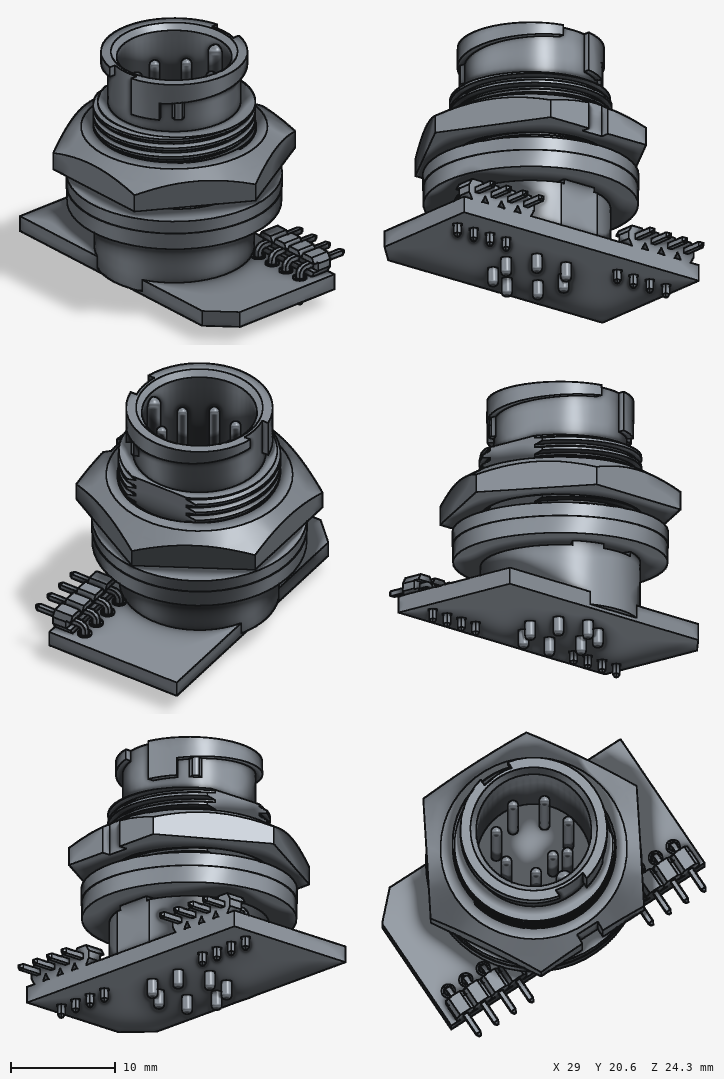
import cadquery as cq
import math


BOARD_LENGTH = 28.96
BOARD_BACK = 7.65
BOARD_FRONT = -6.9
BOARD_THICKNESS = 1.6
BOARD_CORNER_CHAMFER = 2.55

HOUSING_BOTTOM = -1.24
HOUSING_TOP = 4.5
FLANGE_BOTTOM = 4.94
FLANGE_STEP = 6.63
FLANGE_TOP = 7.94
NUT_BOTTOM = 9.44
NUT_TOP = 12.85
THREAD_TOP = 15.55
LUG_BOTTOM = 17.05
RIM = 20.9
SOCKET_FLOOR = FLANGE_TOP

HOUSING_RADIUS = 7.63
HOUSING_FLAT_Y = 7.3
NECK_RADIUS = 5.97
POST_HALF_WIDTH = 1.84
POST_OUTER_X = 4.7
BACK_POST_INNER_Y = 6.1
FLANGE_LOWER_RADIUS = 10.25
FLANGE_UPPER_RADIUS = 10.31
COLLAR_RADIUS = 6.35
SOCKET_RADIUS = 5.5
SOCKET_CHAMFER = 0.55

THREAD_PITCH = 0.94
THREAD_ROOT_RADIUS = 7.3
THREAD_CREST_RADIUS = 7.75
THREAD_CREST_WIDTH = 0.28
THREAD_ROOT_WIDTH = 0.22
THREAD_CREST_Z = 8.82
THREAD_FLAT_X = -6.7

LUG_RADIUS = 7.0
LUG_SLOT_HALF_WIDTH = 1.55
RAMP_START_ANGLE = 127
RAMP_END_ANGLE = 260
RAMP_START_DEPTH = 2.1
RAMP_PITCH = 3.0
DETENT_ANGLE = 142.3
DETENT_BASE_HALF_ANGLE = 5.3
DETENT_TOP_HALF_ANGLE = 2.9
DETENT_SHOULDER_RADIUS = 6.75
DETENT_PEAK_RADIUS = 6.85

PIN_RADIUS = 0.5
PIN_CIRCLE_RADIUS = 3.6
PIN_ANGLES = [-90 + 50 * step for step in range(-3, 4)]
PIN_TIP = 18.35
PIN_BOTTOM = -3.36
PIN_BOTTOM_FILLET = 0.42
SHORT_PIN_PLACE = (-0.9, 1.95)
SHORT_PIN_TIP = 15.0
KEY_RADIUS = 0.75
KEY_Y = 5.28
KEY_TIP = 19.8

NUT_ACROSS_FLATS = 20.4
NUT_BORE_RADIUS = 7.58
NUT_THREAD_CLEARANCE = 0.1
NUT_FACE_RADIUS = 8.9
NUT_CHAMFER_ANGLE = 30
NUT_NOTCH_WIDTH = 2.35
NUT_NOTCH_FLOOR_Y = 9.3

HEADER_PITCH = 2.0
HEADER_COUNT = 4
HEADER_INNER_X = 6.85
HEADER_HEIGHT = 2.06
HEADER_FACE_WIDTH = 1.24
HEADER_SIDE_HEIGHT = 0.76
HEADER_DEPTH = 2.0
HEADER_GROOVE_DEPTH = 0.5
HEADER_GROOVE_HEIGHT = 0.9
LEAD_WIDTH = 0.5
LEAD_TIP_WIDTH = 0.22
LEAD_TIP_LENGTH = 0.3
LEAD_BACK_Y = 10.2
LEAD_LEG_Y = 4.67
LEAD_BOTTOM = -2.8
LEAD_BEND_RADIUS = 0.65
PAD_RADIUS = 0.66
PAD_HEIGHT = 0.1
LEAD_HOLE_RADIUS = 0.45

EMBED = 0.15


def cylinder(radius, bottom, top):
    return cq.Workplane("XY").workplane(offset=bottom).circle(radius).extrude(top - bottom)


def block(x_range, y_range, z_range):
    corner = (x_range[0], y_range[0], z_range[0])
    size = [high - low for low, high in (x_range, y_range, z_range)]
    return cq.Workplane("XY").box(*size, centered=False).translate(corner)


def half_turn(shape):
    return shape.rotate((0, 0, 0), (0, 0, 1), 180)


def domed_rod(radius, place, bottom, tip):
    x, y = place
    rod = cylinder(radius, bottom, tip - radius).translate((x, y, 0))
    return rod.union(cq.Workplane("XY").sphere(radius).translate((x, y, tip - radius)))


def board():
    plate = block(
        (-BOARD_LENGTH / 2, BOARD_LENGTH / 2), (BOARD_FRONT, BOARD_BACK), (-BOARD_THICKNESS, 0)
    )
    return plate.edges("|Z and >X and <Y").chamfer(BOARD_CORNER_CHAMFER)


def housing():
    """Round base with a flat back, and the posts that carry the flange."""
    base = cylinder(HOUSING_RADIUS, HOUSING_BOTTOM, FLANGE_BOTTOM)
    base = base.cut(
        block(
            (-HOUSING_RADIUS, HOUSING_RADIUS),
            (HOUSING_FLAT_Y, HOUSING_RADIUS),
            (HOUSING_BOTTOM, FLANGE_BOTTOM),
        )
    )
    gap = cylinder(HOUSING_RADIUS, HOUSING_TOP, FLANGE_BOTTOM)
    gap = gap.cut(cylinder(NECK_RADIUS, HOUSING_TOP, FLANGE_BOTTOM))
    post_angles = [math.asin(x / HOUSING_RADIUS) for x in (POST_HALF_WIDTH, POST_OUTER_X)]
    far = 2 * HOUSING_RADIUS
    for side in (-1, 1):
        corners = [(side * far * math.sin(a), -far * math.cos(a)) for a in post_angles]
        front_post = cq.Workplane("XY").workplane(offset=HOUSING_TOP).polyline([(0, 0), *corners]).close()
        gap = gap.cut(front_post.extrude(FLANGE_BOTTOM - HOUSING_TOP))
    back_post = block(
        (-POST_HALF_WIDTH, POST_HALF_WIDTH),
        (BACK_POST_INNER_Y, HOUSING_FLAT_Y),
        (HOUSING_TOP, FLANGE_BOTTOM),
    )
    return base.cut(gap.cut(back_post))


def flange():
    lower = cylinder(FLANGE_LOWER_RADIUS, FLANGE_BOTTOM, FLANGE_STEP)
    return lower.union(cylinder(FLANGE_UPPER_RADIUS, FLANGE_STEP, FLANGE_TOP))


def threaded_rod(clearance=0):
    """Round rod with a right-hand helical ridge, enlarged radially by `clearance`."""
    turns_below = 2
    start = THREAD_CREST_Z - turns_below * THREAD_PITCH
    length = THREAD_TOP - start + THREAD_PITCH
    root_radius = THREAD_ROOT_RADIUS + clearance
    crest_radius = THREAD_CREST_RADIUS + clearance
    inner_radius = root_radius - EMBED
    crest = THREAD_CREST_WIDTH / 2
    foot = (THREAD_PITCH - THREAD_ROOT_WIDTH) / 2
    profile = [
        (inner_radius, start - foot),
        (root_radius, start - foot),
        (crest_radius, start - crest),
        (crest_radius, start + crest),
        (root_radius, start + foot),
        (inner_radius, start + foot),
    ]
    path = cq.Wire.makeHelix(THREAD_PITCH, length, root_radius, cq.Vector(0, 0, start))
    ridge = cq.Workplane("XZ").polyline(profile).close().sweep(cq.Workplane(path), isFrenet=True)
    ridge = ridge.intersect(cylinder(crest_radius + EMBED, FLANGE_TOP, THREAD_TOP))
    return cylinder(root_radius, FLANGE_TOP, THREAD_TOP).union(ridge)


def threaded_barrel():
    """Threaded part of the shell, with one flat on the -X side."""
    flat = block(
        (-2 * THREAD_CREST_RADIUS, THREAD_FLAT_X),
        (-THREAD_CREST_RADIUS, THREAD_CREST_RADIUS),
        (FLANGE_TOP, THREAD_TOP),
    )
    return threaded_rod().cut(flat)


def ramp_cutter():
    """Clears the space under one lug, up to its helical underside."""
    start = RIM - RAMP_START_DEPTH
    rise = RAMP_PITCH * (RAMP_END_ANGLE - RAMP_START_ANGLE) / 360
    inner_radius = COLLAR_RADIUS - 2 * EMBED
    outer_radius = LUG_RADIUS + EMBED
    bottom = LUG_BOTTOM - RAMP_PITCH
    path = cq.Wire.makeHelix(RAMP_PITCH, rise, LUG_RADIUS, cq.Vector(0, 0, start))
    section = [(inner_radius, bottom), (outer_radius, bottom), (outer_radius, start), (inner_radius, start)]
    cutter = cq.Workplane("XZ").polyline(section).close().sweep(cq.Workplane(path), isFrenet=True)
    return cutter.rotate((0, 0, 0), (0, 0, 1), RAMP_START_ANGLE)


def detent():
    """Small ridge with a rounded top, standing on the collar under one lug."""

    def point(radius, offset):
        angle = math.radians(DETENT_ANGLE + offset)
        return (radius * math.cos(angle), radius * math.sin(angle))

    outline = (
        cq.Workplane("XY")
        .workplane(offset=LUG_BOTTOM)
        .moveTo(*point(COLLAR_RADIUS - EMBED, 0))
        .lineTo(*point(COLLAR_RADIUS, -DETENT_BASE_HALF_ANGLE))
        .lineTo(*point(DETENT_SHOULDER_RADIUS, -DETENT_TOP_HALF_ANGLE))
        .threePointArc(point(DETENT_PEAK_RADIUS, 0), point(DETENT_SHOULDER_RADIUS, DETENT_TOP_HALF_ANGLE))
        .lineTo(*point(COLLAR_RADIUS, DETENT_BASE_HALF_ANGLE))
        .close()
    )
    top = RIM - RAMP_START_DEPTH / 2
    return outline.extrude(top - LUG_BOTTOM)


def bayonet_collar():
    lugs = cylinder(LUG_RADIUS, LUG_BOTTOM, RIM).cut(cylinder(COLLAR_RADIUS - EMBED, LUG_BOTTOM, RIM))
    lugs = lugs.cut(
        block(
            (-LUG_SLOT_HALF_WIDTH, LUG_SLOT_HALF_WIDTH),
            (-LUG_RADIUS, LUG_RADIUS),
            (LUG_BOTTOM, RIM),
        )
    )
    cutter = ramp_cutter()
    lugs = lugs.cut(cutter).cut(half_turn(cutter))
    collar = cylinder(COLLAR_RADIUS, THREAD_TOP, RIM).union(lugs)
    ridge = detent()
    return collar.union(ridge).union(half_turn(ridge))


def socket():
    """Cavity around the contacts, chamfered at the rim."""
    profile = [
        (0, SOCKET_FLOOR),
        (SOCKET_RADIUS, SOCKET_FLOOR),
        (SOCKET_RADIUS, RIM - SOCKET_CHAMFER),
        (SOCKET_RADIUS + SOCKET_CHAMFER, RIM),
        (0, RIM),
    ]
    return cq.Workplane("XZ").polyline(profile).close().revolve(360, (0, 0, 0), (0, 1, 0))


def contacts():
    """Seven contacts through the board, one short contact and the polarising key."""
    parts = []
    for angle in PIN_ANGLES:
        x = PIN_CIRCLE_RADIUS * math.cos(math.radians(angle))
        y = PIN_CIRCLE_RADIUS * math.sin(math.radians(angle))
        parts.append(domed_rod(PIN_RADIUS, (x, y), SOCKET_FLOOR - EMBED, PIN_TIP))
        tail = cylinder(PIN_RADIUS, PIN_BOTTOM, HOUSING_BOTTOM).faces("<Z").edges().fillet(PIN_BOTTOM_FILLET)
        parts.append(tail.translate((x, y, 0)))
    parts.append(domed_rod(PIN_RADIUS, SHORT_PIN_PLACE, SOCKET_FLOOR - EMBED, SHORT_PIN_TIP))
    key = domed_rod(KEY_RADIUS, (0, KEY_Y), SOCKET_FLOOR - EMBED, KEY_TIP)
    parts.append(key.intersect(cylinder(COLLAR_RADIUS - EMBED, SOCKET_FLOOR - EMBED, RIM)))
    return parts


def lead_tip(base_center, direction):
    """Tapered square end that grows from `base_center` along `direction`."""
    plane = cq.Plane(origin=base_center, xDir=(1, 0, 0), normal=direction)
    base = cq.Workplane(plane).rect(LEAD_WIDTH, LEAD_WIDTH)
    return base.workplane(offset=LEAD_TIP_LENGTH).rect(LEAD_TIP_WIDTH, LEAD_TIP_WIDTH).loft()


def lead():
    """Square wire, bent from the back edge down through the board."""
    height = HEADER_HEIGHT / 2
    back = LEAD_BACK_Y - LEAD_TIP_LENGTH
    bottom = LEAD_BOTTOM + LEAD_TIP_LENGTH
    bend = LEAD_BEND_RADIUS
    bend_mid = bend * (1 - math.sqrt(0.5))
    path = (
        cq.Workplane("YZ")
        .moveTo(back, height)
        .lineTo(LEAD_LEG_Y + bend, height)
        .threePointArc((LEAD_LEG_Y + bend_mid, height - bend_mid), (LEAD_LEG_Y, height - bend))
        .lineTo(LEAD_LEG_Y, bottom)
    )
    wire = cq.Workplane("XZ", origin=(0, back, height)).rect(LEAD_WIDTH, LEAD_WIDTH).sweep(path)
    back_tip = lead_tip((0, back, height), (0, 1, 0))
    bottom_tip = lead_tip((0, LEAD_LEG_Y, bottom), (0, 0, -1))
    return wire.union(back_tip).union(bottom_tip)


def header_unit():
    """One eight-sided insulator block, grooved on its inner side, with its lead."""
    half_pitch = HEADER_PITCH / 2
    half_face = HEADER_FACE_WIDTH / 2
    middle = HEADER_HEIGHT / 2
    side_low = middle - HEADER_SIDE_HEIGHT / 2
    side_high = middle + HEADER_SIDE_HEIGHT / 2
    inner_y = BOARD_BACK - HEADER_DEPTH
    outline = [
        (-half_face, 0),
        (half_face, 0),
        (half_pitch, side_low),
        (half_pitch, side_high),
        (half_face, HEADER_HEIGHT),
        (-half_face, HEADER_HEIGHT),
        (-half_pitch, side_high),
        (-half_pitch, side_low),
    ]
    body = cq.Workplane("XZ", origin=(0, BOARD_BACK, 0)).polyline(outline).close().extrude(HEADER_DEPTH)
    groove = block(
        (-half_pitch, half_pitch),
        (inner_y, inner_y + HEADER_GROOVE_DEPTH),
        (middle - HEADER_GROOVE_HEIGHT / 2, middle + HEADER_GROOVE_HEIGHT / 2),
    )
    return body.cut(groove).union(lead())


def lead_places():
    distances = [HEADER_INNER_X + HEADER_PITCH * index for index in range(HEADER_COUNT)]
    return [side * distance for side in (-1, 1) for distance in distances]


def board_with_headers():
    hole = cylinder(LEAD_HOLE_RADIUS, -BOARD_THICKNESS, PAD_HEIGHT)
    pad = cylinder(PAD_RADIUS, 0, PAD_HEIGHT)
    unit = header_unit()
    body = board()
    for x in lead_places():
        body = body.union(pad.translate((x, LEAD_LEG_Y, 0)))
        body = body.cut(hole.translate((x, LEAD_LEG_Y, 0)))
        body = body.union(unit.translate((x, 0, 0)))
    return body


def connector():
    body = board_with_headers().union(housing()).union(flange())
    for contact in contacts():
        body = body.union(contact)
    shell = bayonet_collar().union(threaded_barrel()).cut(socket())
    return body.union(shell)


def nut():
    """Hexagon nut, chamfered on top, notched at the back and threaded inside."""
    corner_radius = NUT_ACROSS_FLATS / math.sqrt(3)
    height = NUT_TOP - NUT_BOTTOM
    hexagon = cq.Workplane("XY").workplane(offset=NUT_BOTTOM).polygon(6, 2 * corner_radius).extrude(height)
    slope = math.tan(math.radians(NUT_CHAMFER_ANGLE))
    cone_radius = NUT_FACE_RADIUS + height / slope
    cone = [(0, NUT_BOTTOM), (cone_radius, NUT_BOTTOM), (NUT_FACE_RADIUS, NUT_TOP), (0, NUT_TOP)]
    envelope = cq.Workplane("XZ").polyline(cone).close().revolve(360, (0, 0, 0), (0, 1, 0))
    notch = block(
        (-NUT_NOTCH_WIDTH / 2, NUT_NOTCH_WIDTH / 2),
        (NUT_NOTCH_FLOOR_Y, NUT_ACROSS_FLATS),
        (NUT_BOTTOM, NUT_TOP),
    )
    blank = hexagon.intersect(envelope).cut(cylinder(NUT_BORE_RADIUS, NUT_BOTTOM, NUT_TOP)).cut(notch)
    return blank.cut(threaded_rod(NUT_THREAD_CLEARANCE))


connector_body = connector()
nut_body = nut()

result = cq.Compound.makeCompound([*connector_body.val().Solids(), *nut_body.val().Solids()])